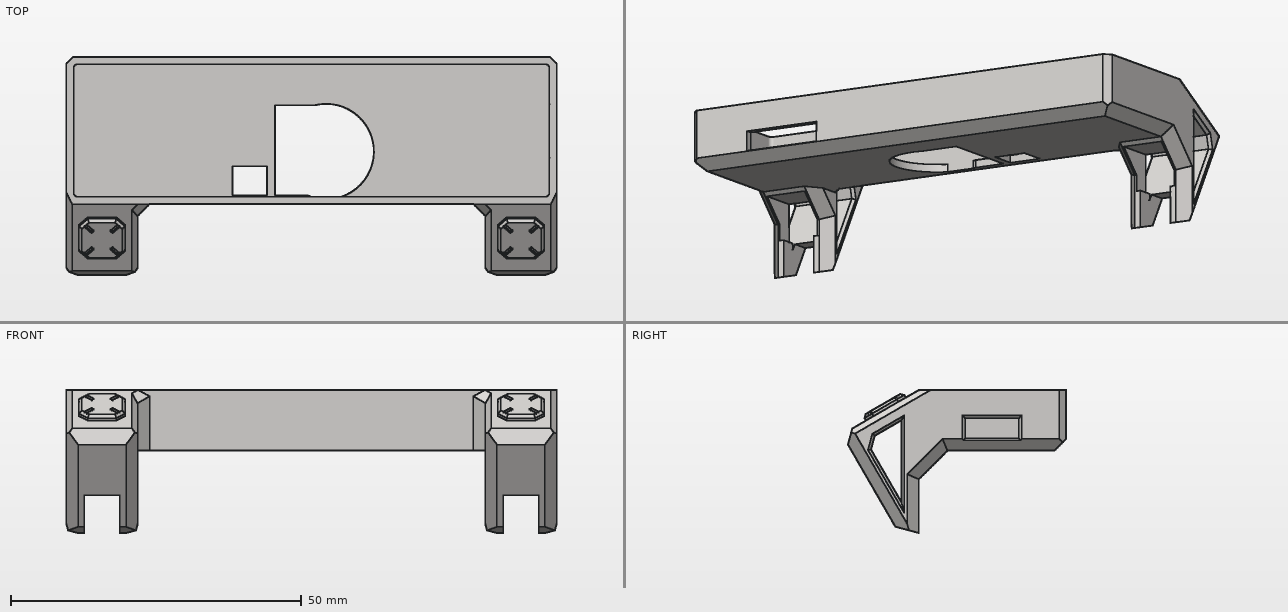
import cadquery as cq
import math

LENGTH = 84.5
TRAY_DEPTH = 25.35
TRAY_HEIGHT = 10.5
WALL = 1.3
FLOOR = 1.35
EDGE_BEVEL = 2.0
RIM_BEVEL = 1.0
BACK_CORNER_BEVEL = 1.2
INNER_CORNER_RADIUS = 0.7

ROUND_HOLE_RADIUS = 8.2
ROUND_HOLE_X = 2.5
ROUND_HOLE_Y = -16.3
ROUND_HOLE_LEFT_X = -6.25
ROUND_HOLE_BACK_Y = -8.4
SQUARE_HOLE_X = -10.65
SQUARE_HOLE_WIDTH = 5.9
SQUARE_HOLE_DEPTH = 5.0
HOLE_EDGE_Y = -23.8
WALL_WINDOW_HEIGHT = 3.5
WALL_WINDOW_SILL = 0.8
BACK_WINDOW_X = 23.9
BACK_WINDOW_WIDTH = 14.0
END_WINDOW_Y = -12.8
END_WINDOW_WIDTH = 9.2

LEG_WIDTH = 12.3
TOTAL_DEPTH = 37.6
TOTAL_HEIGHT = 24.7
SLOPE_ANGLE = 30.0
BRACE_SIZE = 4.9
LEG_BACK_Y = -TRAY_DEPTH / 2
FOOT_SLOT_WIDTH = 6.1
FOOT_SLOT_TOP = -18.2
BACK_OPENING_WIDTH = 7.6
BACK_OPENING_TOP = -11.15
GUSSET_SIZE = 2.0
GUSSET_BEVEL = 1.5
FRAME_THICKNESS = 2.5
WINDOW_BEVEL = 0.5

PAD_SIZE = 7.95
PAD_HEIGHT = 1.0
PAD_BEVEL = 0.5
PAD_CORNER = 1.5
PAD_DISTANCE = 6.6
GROOVE_LENGTH = 1.8
GROOVE_WIDTH = 0.6
GROOVE_DEPTH = 0.5

COS = math.cos(math.radians(SLOPE_ANGLE))
SIN = math.sin(math.radians(SLOPE_ANGLE))
TAN = SIN / COS
FRONT_Y = -TRAY_DEPTH
OUTER_X = -LENGTH / 2
INNER_X = OUTER_X + LEG_WIDTH
LEG_X = (OUTER_X + INNER_X) / 2
CORNER_Y = -TOTAL_DEPTH - EDGE_BEVEL * SIN
CORNER_Z = (CORNER_Y - FRONT_Y) * TAN


def slope_z(y):
    """Height of the sloping top of a leg."""
    return (y - FRONT_Y) * TAN


def front_point(z):
    """Point (y, z) on the front face of a leg."""
    return CORNER_Y + (CORNER_Z - z) * TAN, z


def bevelled_corner(y, z):
    """The two points that bevel a corner between the slope and front directions."""
    return [
        (y + EDGE_BEVEL * COS, z + EDGE_BEVEL * SIN),
        (y + EDGE_BEVEL * SIN, z - EDGE_BEVEL * COS),
    ]


def bevel_cutter(start, end, inward_a, inward_b, size_a, size_b=None):
    """Prism that bevels the edge from start to end and runs a little past both ends.

    The bevel reaches size_a along inward_a and size_b, the same unless given, along inward_b.
    """
    edge = cq.Vector(*end) - cq.Vector(*start)
    overrun = edge.normalized() * 2 * size_a
    a = cq.Vector(*inward_a).normalized() * size_a
    b = cq.Vector(*inward_b).normalized() * (size_b or size_a)
    first = cq.Vector(*start) - overrun
    corners = [first + a * 2 - b, first + b * 2 - a, first - a - b]
    face = cq.Face.makeFromWires(cq.Wire.makePolygon(corners, close=True))
    return cq.Workplane(obj=cq.Solid.extrudeLinear(face, edge + overrun * 2))


def tray_block():
    """Solid tray with bevelled bottom and back corner edges."""
    block = cq.Workplane().box(LENGTH, TRAY_DEPTH, TRAY_HEIGHT, centered=(True, False, False))
    block = block.translate((0, FRONT_Y, -TRAY_HEIGHT))
    block = block.faces("<Z").edges("not <Y").chamfer(EDGE_BEVEL)
    for side in (-1, 1):
        x = side * LENGTH / 2
        block = block.cut(
            bevel_cutter((x, 0, 0), (x, 0, -TRAY_HEIGHT), (-side, 0, 0), (0, -1, 0), BACK_CORNER_BEVEL)
        )
    return block


def slope_bevel(x, inward):
    """Cutter along one side of the slope; inward is +1 or -1 in x."""
    return bevel_cutter(
        (x, FRONT_Y, 0), (x, CORNER_Y, CORNER_Z), (inward, 0, 0), (0, SIN, -COS), RIM_BEVEL
    )


def front_bevel(x, inward):
    """Cutter along one side of the front face."""
    tip_y, tip_z = front_point(-TOTAL_HEIGHT)
    return bevel_cutter(
        (x, CORNER_Y, CORNER_Z), (x, tip_y, tip_z), (inward, 0, 0), (0, COS, SIN), EDGE_BEVEL
    )


def leg_body():
    """Solid leg, reaching back under the side of the tray, with its edges bevelled."""
    foot_rise = math.tan(math.radians(SLOPE_ANGLE / 2))
    foot_run = FRONT_Y - CORNER_Y - CORNER_Z * TAN
    foot_z = (foot_rise * foot_run - TOTAL_HEIGHT) / (1 - foot_rise * TAN)
    outline = [
        (LEG_BACK_Y, 0),
        (FRONT_Y, 0),
        *bevelled_corner(CORNER_Y, CORNER_Z),
        front_point(foot_z),
        (FRONT_Y, -TOTAL_HEIGHT),
        (FRONT_Y, -TRAY_HEIGHT - BRACE_SIZE),
        (FRONT_Y + BRACE_SIZE, -TRAY_HEIGHT),
        (LEG_BACK_Y, -TRAY_HEIGHT),
    ]
    body = cq.Workplane("YZ", origin=(OUTER_X, 0, 0)).polyline(outline).close().extrude(LEG_WIDTH)
    margin = 0.1
    underside = cq.selectors.BoxSelector(
        (OUTER_X - margin, FRONT_Y - margin, -TOTAL_HEIGHT),
        (INNER_X + margin, LEG_BACK_Y - margin, -TRAY_HEIGHT + margin),
    )
    body = body.edges("not |X").edges(underside).edges("<X or >X").chamfer(EDGE_BEVEL)
    for x, inward in ((OUTER_X, 1), (INNER_X, -1)):
        body = body.cut(front_bevel(x, inward))
    return body.cut(slope_bevel(INNER_X, -1))


def gusset():
    """Corner web between the inner side of a leg and the tray."""
    size = GUSSET_SIZE
    web = (
        cq.Workplane("XY", origin=(0, 0, -TRAY_HEIGHT))
        .polyline(
            [
                (INNER_X + size, FRONT_Y),
                (INNER_X - size, FRONT_Y - 2 * size),
                (INNER_X - size, FRONT_Y),
            ]
        )
        .close()
        .extrude(TRAY_HEIGHT)
    )
    low_y = FRONT_Y - 2 * size
    above_slope = (
        cq.Workplane("YZ", origin=(OUTER_X, 0, 0))
        .polyline([(FRONT_Y, 0), (low_y, slope_z(low_y)), (low_y, 0)])
        .close()
        .extrude(LENGTH)
    )
    start = (INNER_X + size, FRONT_Y, 0)
    end = (INNER_X - size, low_y, slope_z(low_y))
    along = cq.Vector(*end) - cq.Vector(*start)
    into_slope = along.cross(cq.Vector(0, -SIN, COS))
    into_face = cq.Vector(1, -1, 0).cross(along)
    edge_bevel = bevel_cutter(
        start, end, into_slope.toTuple(), into_face.toTuple(), GUSSET_BEVEL, RIM_BEVEL
    )
    return web.cut(above_slope).cut(edge_bevel)


def leg_window():
    """Opening through both sides of a leg, with bevelled rims."""
    back_y = FRONT_Y - FRAME_THICKNESS
    corner_y = CORNER_Y + FRAME_THICKNESS * (COS + SIN)
    corner_z = CORNER_Z + FRAME_THICKNESS * (SIN - COS)
    outline = [
        (back_y, corner_z + (back_y - corner_y) * TAN),
        *bevelled_corner(corner_y, corner_z),
        (back_y, corner_z - (back_y - corner_y) / TAN),
    ]
    sketch = cq.Workplane("YZ", origin=(OUTER_X, 0, 0)).polyline(outline).close()
    rim = sketch.extrude(WINDOW_BEVEL, taper=45)
    opening = rim.faces(">X").wires().toPending().extrude(LEG_WIDTH - 2 * WINDOW_BEVEL, combine=False)
    return rim.union(opening).union(rim.mirror("YZ", (LEG_X, 0, 0)))


def foot_slot():
    """Slot through the foot from front to back."""
    slot = cq.Workplane().box(FOOT_SLOT_WIDTH, TOTAL_DEPTH, TOTAL_HEIGHT, centered=(True, False, False))
    return slot.translate((LEG_X, -TOTAL_DEPTH, FOOT_SLOT_TOP - TOTAL_HEIGHT))


def back_opening():
    """Wider opening above the foot slot, through the back face and brace only."""
    height = BACK_OPENING_TOP - FOOT_SLOT_TOP
    opening = cq.Workplane().box(BACK_OPENING_WIDTH, TRAY_DEPTH, height, centered=(True, False, False))
    return opening.translate((LEG_X, FRONT_Y - FRAME_THICKNESS - WINDOW_BEVEL, FOOT_SLOT_TOP))


def pad():
    """Octagonal raised pad with four diagonal grooves."""
    slope_plane = cq.Plane(
        origin=(LEG_X, FRONT_Y - PAD_DISTANCE * COS, -PAD_DISTANCE * SIN),
        xDir=(1, 0, 0),
        normal=(0, -SIN, COS),
    )
    body = cq.Workplane(slope_plane).rect(PAD_SIZE, PAD_SIZE).extrude(PAD_HEIGHT)
    body = body.edges(cq.selectors.ParallelDirSelector(slope_plane.zDir)).chamfer(PAD_CORNER)
    body = body.faces(cq.selectors.DirectionMinMaxSelector(slope_plane.zDir)).chamfer(PAD_BEVEL)
    corner_reach = (PAD_SIZE - PAD_CORNER) / math.sqrt(2) - PAD_BEVEL
    grooves = (
        cq.Workplane(slope_plane)
        .workplane(offset=PAD_HEIGHT - GROOVE_DEPTH)
        .polarArray(corner_reach - GROOVE_LENGTH / 2, 45, 360, 4)
        .rect(GROOVE_LENGTH, GROOVE_WIDTH)
        .extrude(PAD_HEIGHT)
    )
    return body.cut(grooves)


def left_leg():
    """Complete leg at the -X end."""
    leg = leg_body().union(gusset())
    leg = leg.cut(leg_window()).cut(foot_slot()).cut(back_opening())
    return leg.union(pad())


def cavity():
    """Space inside the tray, open at the rim."""
    hollow = cq.Workplane().box(LENGTH - 2 * WALL, TRAY_DEPTH - 2 * WALL, TRAY_HEIGHT)
    hollow = hollow.edges("|Z").fillet(INNER_CORNER_RADIUS)
    return hollow.translate((0, FRONT_Y / 2, FLOOR - TRAY_HEIGHT / 2))


def floor_holes():
    """Round-ended hole and square hole; neither cuts into the front wall."""
    cut_height = 2 * FLOOR
    base = cq.Workplane("XY", origin=(0, 0, -TRAY_HEIGHT - FLOOR / 2))
    front_wall = cq.Workplane().box(LENGTH, 2 * WALL, 4 * TRAY_HEIGHT).translate((0, FRONT_Y, 0))
    round_end = base.center(ROUND_HOLE_X, ROUND_HOLE_Y).circle(ROUND_HOLE_RADIUS).extrude(cut_height)
    straight_width = ROUND_HOLE_X - ROUND_HOLE_LEFT_X
    straight_depth = ROUND_HOLE_BACK_Y - HOLE_EDGE_Y
    straight = (
        base.moveTo(ROUND_HOLE_LEFT_X, HOLE_EDGE_Y)
        .rect(straight_width, straight_depth, centered=False)
        .extrude(cut_height)
    )
    square = (
        base.moveTo(SQUARE_HOLE_X, HOLE_EDGE_Y + SQUARE_HOLE_DEPTH / 2)
        .rect(SQUARE_HOLE_WIDTH, SQUARE_HOLE_DEPTH)
        .extrude(cut_height)
    )
    return round_end.cut(front_wall).union(straight).union(square)


def wall_windows():
    """Window in the back wall, and one with a bevelled outer rim in the +X end wall."""
    window_z = -TRAY_HEIGHT + FLOOR + WALL_WINDOW_SILL + WALL_WINDOW_HEIGHT / 2
    back = cq.Workplane().box(BACK_WINDOW_WIDTH, 4 * WALL, WALL_WINDOW_HEIGHT)
    back = back.translate((BACK_WINDOW_X, 0, window_z))
    end_x = LENGTH / 2
    end = cq.Workplane().box(4 * WALL, END_WINDOW_WIDTH, WALL_WINDOW_HEIGHT)
    end = end.translate((end_x, END_WINDOW_Y, window_z))
    rim = (
        cq.Workplane("YZ", origin=(end_x, END_WINDOW_Y, window_z))
        .rect(END_WINDOW_WIDTH + 2 * WINDOW_BEVEL, WALL_WINDOW_HEIGHT + 2 * WINDOW_BEVEL)
        .extrude(-WINDOW_BEVEL, taper=45)
    )
    return back.union(end).union(rim)


leg = left_leg()
result = tray_block().union(leg).union(leg.mirror("YZ"))
result = result.cut(slope_bevel(OUTER_X, 1)).cut(slope_bevel(-OUTER_X, -1))
result = result.cut(cavity()).cut(floor_holes()).cut(wall_windows())